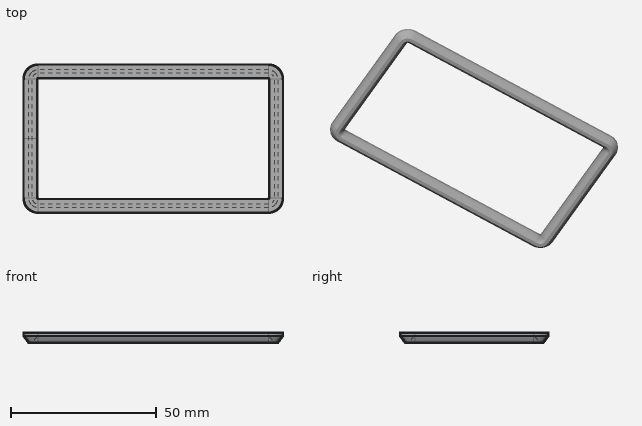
import cadquery as cq

LENGTH = 89.0
DEPTH = 50.9
HEIGHT = 3.5

RIM_WIDTH = 4.8
RIM_HEIGHT = 1.15
TAPER = 1.8

CORNER_RADIUS = 5.05


def frame_section():
    """Closed section of the left side, on the XZ plane, with the base at Z = 0."""
    outer = -LENGTH / 2
    inner = outer + RIM_WIDTH
    rim_base = HEIGHT - RIM_HEIGHT
    return cq.Workplane("XZ").polyline(
        [
            (outer, HEIGHT),
            (inner, HEIGHT),
            (inner, rim_base),
            (inner - TAPER, 0),
            (outer + TAPER, 0),
            (outer, rim_base),
        ]
    ).close()


def outer_path():
    """Rounded rectangle along the outer edge, starting at the middle of the left side."""
    half_length = LENGTH / 2
    half_depth = DEPTH / 2
    straight_x = half_length - CORNER_RADIUS
    straight_y = half_depth - CORNER_RADIUS
    return (
        cq.Workplane("XY", origin=(0, 0, HEIGHT))
        .moveTo(-half_length, 0)
        .lineTo(-half_length, straight_y)
        .radiusArc((-straight_x, half_depth), CORNER_RADIUS)
        .lineTo(straight_x, half_depth)
        .radiusArc((half_length, straight_y), CORNER_RADIUS)
        .lineTo(half_length, -straight_y)
        .radiusArc((straight_x, -half_depth), CORNER_RADIUS)
        .lineTo(-straight_x, -half_depth)
        .radiusArc((-half_length, -straight_y), CORNER_RADIUS)
        .close()
    )


result = frame_section().sweep(outer_path(), clean=False)